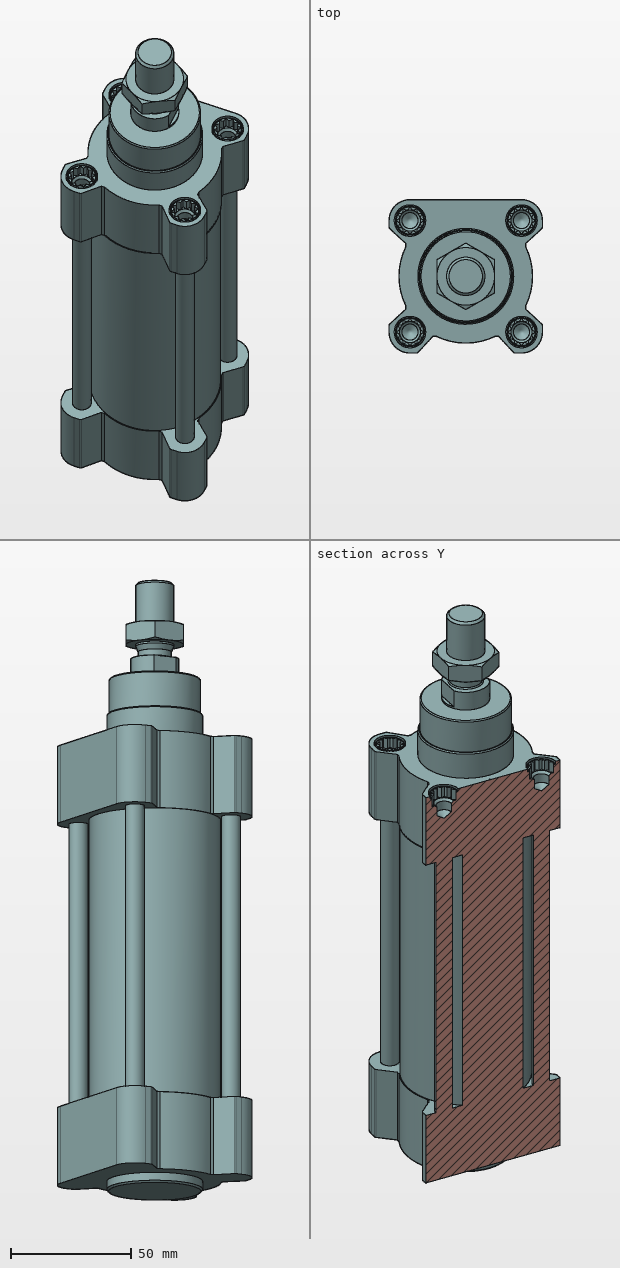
import cadquery as cq
import math

rod_tip_z = 257.8
spigot_height = 4.0
cap_height = 32.7
barrel_length = 120.5
boss_height = 12.0
collar_height = 15.0

rear_cap_base = spigot_height
barrel_base = rear_cap_base + cap_height
front_cap_base = barrel_base + barrel_length
front_cap_top = front_cap_base + cap_height
boss_top = front_cap_top + boss_height
collar_top = boss_top + collar_height

cap_width = 64.0
lug_radius = 8.8
cap_round_diameter = 55.7
flank_half_width = 25.0
notch_half_width = 13.7
lug_tip_offset = 20.0
lug_tip_fillet = 1.0

half_width = cap_width / 2
lug_center = half_width - lug_radius
cap_round_radius = cap_round_diameter / 2
flank_arc_start = math.sqrt(cap_round_radius**2 - flank_half_width**2)

barrel_diameter = 55.0
tie_rod_diameter = 8.0
spigot_diameter = 40.0
spigot_chamfer = 0.8
collar_diameter = 38.2
collar_chamfer = 0.5

counterbore_diameter = 13.1
head_diameter = 12.0
head_top_diameter = 11.3
head_depth = 0.3
head_gap_depth = 1.3
socket_points = 12
socket_root_diameter = 8.8
socket_depth = 5.2
thread_diameter = 6.7
thread_depth = 5.2
drill_tip_half_angle = 59.0

rod_diameter = 20.0
rod_thread_diameter = 16.0
rod_neck_diameter = 14.0
rod_flat_width = 17.0
rod_shoulder_z = 225.5
rod_flat_base_z = 217.8
rod_tip_chamfer = 1.0
neck_base_flare = 0.5
neck_top_z = 228.7
neck_flare_height = 2.3

nut_width = 24.0
nut_height = 8.0
nut_base_z = 231.8
nut_chamfer_angle = 20.0
nut_sides = 6
nut_half_side_angle = 180 / nut_sides
nut_corner_diameter = nut_width / math.cos(math.radians(nut_half_side_angle))


def disc(diameter, base_z, height):
    return cq.Workplane("XY").workplane(offset=base_z).circle(diameter / 2).extrude(height)


def turned(profile):
    """Revolve a closed (radius, z) outline about the Z axis."""
    return cq.Workplane("XZ").polyline(profile).close().revolve(360, (0, 0), (0, 1))


def at_corners(shape):
    """One copy of a centred shape at each of the four tie rod places."""
    corners = [(x, y) for x in (-lug_center, lug_center) for y in (-lug_center, lug_center)]
    return [shape.translate((x, y, 0)) for x, y in corners]


def cap(base_z):
    """Round cap with four corner lugs; the gap between the two +Y lugs is filled."""
    mid_arc = lug_center + lug_radius / math.sqrt(2)
    right_half = (
        cq.Workplane("XY")
        .workplane(offset=base_z)
        .moveTo(0, half_width)
        .lineTo(lug_center, half_width)
        .threePointArc((mid_arc, mid_arc), (half_width, lug_center))
        .lineTo(half_width, lug_tip_offset)
        .lineTo(flank_half_width, notch_half_width)
        .lineTo(flank_half_width, flank_arc_start)
        .threePointArc((cap_round_radius, 0), (flank_half_width, -flank_arc_start))
        .lineTo(flank_half_width, -notch_half_width)
        .lineTo(half_width, -lug_tip_offset)
        .lineTo(half_width, -lug_center)
        .threePointArc((mid_arc, -mid_arc), (lug_center, -half_width))
        .lineTo(lug_tip_offset, -half_width)
        .lineTo(notch_half_width, -flank_half_width)
        .lineTo(flank_arc_start, -flank_half_width)
        .radiusArc((0, -cap_round_radius), cap_round_radius)
        .close()
        .extrude(cap_height)
    )
    mid_z = base_z + cap_height / 2
    lug_tips = [
        (half_width, lug_tip_offset, mid_z),
        (half_width, -lug_tip_offset, mid_z),
        (lug_tip_offset, -half_width, mid_z),
    ]
    for tip in lug_tips:
        tip_edge = cq.selectors.NearestToPointSelector(tip)
        right_half = right_half.edges(tip_edge).fillet(lug_tip_fillet)
    return right_half.union(right_half.mirror("YZ"))


def head_clearance():
    """Space above and around one screw head, whose rim is chamfered."""
    rim_chamfer = (head_diameter - head_top_diameter) / 2
    head_z = front_cap_top - head_depth
    gap_floor_z = front_cap_top - head_gap_depth
    return turned(
        [
            (0, front_cap_top),
            (counterbore_diameter / 2, front_cap_top),
            (counterbore_diameter / 2, gap_floor_z),
            (head_diameter / 2, gap_floor_z),
            (head_diameter / 2, head_z - rim_chamfer),
            (head_top_diameter / 2, head_z),
            (0, head_z),
        ]
    )


def star_socket():
    """Twelve-pointed drive socket in one screw head."""
    vertex_count = 2 * socket_points
    outline = []
    for index in range(vertex_count):
        radius = (head_top_diameter if index % 2 == 0 else socket_root_diameter) / 2
        angle = 2 * math.pi * index / vertex_count
        outline.append((radius * math.cos(angle), radius * math.sin(angle)))
    socket_floor = cq.Workplane("XY").workplane(offset=front_cap_top - socket_depth)
    return socket_floor.polyline(outline).close().extrude(socket_depth)


def thread_hole():
    """Blind hole below the socket, with a countersunk mouth and a drill tip."""
    mouth_z = front_cap_top - socket_depth
    countersink = (socket_root_diameter - thread_diameter) / 2
    thread_end_z = mouth_z - thread_depth
    tip_height = thread_diameter / 2 / math.tan(math.radians(drill_tip_half_angle))
    return turned(
        [
            (0, mouth_z),
            (socket_root_diameter / 2, mouth_z),
            (thread_diameter / 2, mouth_z - countersink),
            (thread_diameter / 2, thread_end_z),
            (0, thread_end_z - tip_height),
        ]
    )


def screw_recess():
    """Everything cut from one lug: ring gap, drive socket and thread hole."""
    return head_clearance().union(star_socket()).union(thread_hole())


def make_housing():
    """Barrel, caps, tie rods and screws as one body, bored for the piston rod."""
    spigot = disc(spigot_diameter, 0, spigot_height).faces("<Z").chamfer(spigot_chamfer)
    barrel = disc(barrel_diameter, barrel_base, barrel_length)
    boss = disc(spigot_diameter, front_cap_top, boss_height).faces(">Z").chamfer(collar_chamfer)
    collar = disc(collar_diameter, boss_top, collar_height).faces(">Z").chamfer(collar_chamfer)
    body = spigot.union(cap(rear_cap_base)).union(barrel).union(cap(front_cap_base))
    body = body.union(boss).union(collar)
    for tie_rod in at_corners(disc(tie_rod_diameter, barrel_base, barrel_length)):
        body = body.union(tie_rod)
    for recess in at_corners(screw_recess()):
        body = body.cut(recess)
    rod_bore = disc(rod_diameter, front_cap_base, collar_top - front_cap_base)
    return body.cut(rod_bore)


def make_rod():
    """Rod with a threaded tip, a relief neck and two wrench flats across X."""
    rod_radius = rod_diameter / 2
    thread_radius = rod_thread_diameter / 2
    neck_radius = rod_neck_diameter / 2
    rod = turned(
        [
            (0, front_cap_base),
            (rod_radius, front_cap_base),
            (rod_radius, rod_shoulder_z),
            (neck_radius + neck_base_flare, rod_shoulder_z),
            (neck_radius, rod_shoulder_z + neck_base_flare),
            (neck_radius, neck_top_z),
            (thread_radius, neck_top_z + neck_flare_height),
            (thread_radius, rod_tip_z - rod_tip_chamfer),
            (thread_radius - rod_tip_chamfer, rod_tip_z),
            (0, rod_tip_z),
        ]
    )
    flat_height = rod_shoulder_z - rod_flat_base_z
    flat_zone = cq.Workplane("XY").workplane(offset=rod_flat_base_z)
    ring = flat_zone.circle(rod_diameter).extrude(flat_height)
    land = flat_zone.rect(rod_flat_width, 2 * rod_diameter).extrude(flat_height)
    wrench_flats = ring.cut(land)
    return rod.cut(wrench_flats)


def make_nut():
    """Hexagon nut with two flats across X, its corners turned off on both faces."""
    corner_radius = nut_corner_diameter / 2
    flat_radius = nut_width / 2
    corner_drop = (corner_radius - flat_radius) * math.tan(math.radians(nut_chamfer_angle))
    nut_top_z = nut_base_z + nut_height
    hexagon = (
        cq.Workplane("XY")
        .workplane(offset=nut_base_z)
        .polygon(nut_sides, nut_corner_diameter)
        .extrude(nut_height)
        .rotate((0, 0, 0), (0, 0, 1), nut_half_side_angle)
    )
    envelope = turned(
        [
            (0, nut_base_z),
            (flat_radius, nut_base_z),
            (corner_radius, nut_base_z + corner_drop),
            (corner_radius, nut_top_z - corner_drop),
            (flat_radius, nut_top_z),
            (0, nut_top_z),
        ]
    )
    return hexagon.intersect(envelope)


housing = make_housing()
rod = make_rod()
nut = make_nut().cut(rod)

result = cq.Compound.makeCompound([housing.val(), rod.val(), nut.val()])